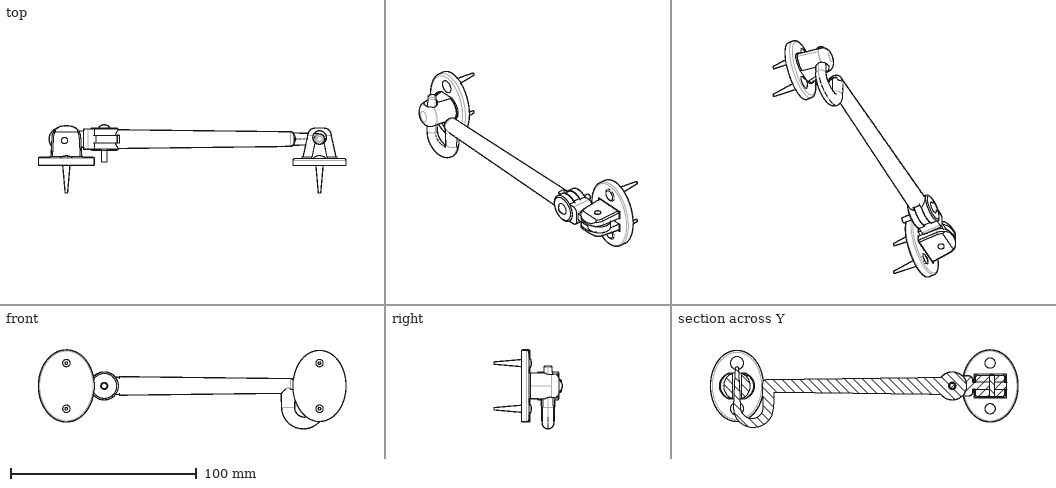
import cadquery as cq
import math


overall_depth = 36.92
overall_height = 42.7
axis_y = 14.3

hinge_plate_rx = 15.1
hinge_plate_rz = 19.5
hinge_plate_thickness = 4.55
hinge_plate_rounding = 0.7

eye_x = 136.3
eye_plate_rx = 14.36
eye_plate_rz = 19.2
eye_plate_thickness = 3.95
eye_plate_rounding = 1.1

ear_root_z = 6.4
ear_draft = 4.2
ear_base_half_width = 8.4
ear_shoulder_half_width = 7.5
ear_shoulder_y = 19.7
ear_shoulder_rounding = 6.5
ear_top_y = 21.75
ear_edge_bevel = 0.85
ear_slope_start_y = 18.3
ear_slope_drop = 2.1
ear_foot_height = 0.3
ear_foot_half_width = 8.75
ear_slot_width = 3.8

boss_base_rx = 9.1
boss_base_rz = 7.85
boss_shoulder_rx = 6.4
boss_shoulder_rz = 7.25
boss_shoulder_y = 16.15
boss_top_y = 20.3
boss_top_rounding = 4.0
boss_half_height = 7.0
boss_foot_height = 0.8
boss_foot_margin = 0.4
eye_hole_radius = 3.65
eye_hole_y = 15.12

screw_spacing = 24.6
screw_tip_y = -14.8
screw_tip_radius = 0.7
screw_shank_radius = 2.0
screw_head_radius = 3.5
screw_head_top_y = 5.4

link_eye_x = -3.2
link_eye_radius = 6.15
link_neck_half_width = 4.5
link_block_start_x = 9.25
link_block_half_height = 5.5
link_block_rounding = 2.5
link_block_length = 11.0

hinge_pin_x = -1.0
hinge_pin_y = 13.55
hinge_pin_radius = 1.7
hinge_pin_half_length = 5.82

knuckle_x = 20.4
knuckle_radius = 7.6
knuckle_length = 12.0
knuckle_bevel = 0.9
knuckle_bevel_depth = 0.6
knuckle_slot_width = 4.0
knuckle_slot_end_x = 28.5
knuckle_tongue_radius = 7.1

rivet_radius = 1.5
rivet_hole_radius = 1.9
rivet_end_y = 1.85
rivet_head_radius = 3.1
rivet_head_top_y = screw_tip_y + overall_depth

arm_start_radius = 5.2
arm_end_radius = 4.0
arm_end_x = 122.6
arm_end_rounding = 1.9
hook_leg_x = 119.4
hook_root_radius = 3.95
hook_tip_radius = 2.2
hook_bend_bar_radius = 3.23
hook_bottom_z = hinge_plate_rz - overall_height
hook_tip_z = 10.75
hook_tip_rounding = 0.8

wall_plane = cq.Plane(origin=(0, 0, 0), xDir=(1, 0, 0), normal=(0, 1, 0))


def y_sketch(x, y):
    """Workplane facing +Y, centred on z = 0."""
    return cq.Workplane(wall_plane).workplane(offset=y).center(x, 0)


def y_cylinder(x, y_start, y_end, radius):
    return y_sketch(x, y_start).circle(radius).extrude(y_end - y_start)


def z_cylinder(x, y, half_height, radius):
    return cq.Workplane("XY").center(x, y).circle(radius).extrude(half_height, both=True)


def box(x_start, x_end, y_start, y_end, half_height):
    """Block symmetric about z = 0."""
    return (
        cq.Workplane("XY")
        .center((x_start + x_end) / 2, (y_start + y_end) / 2)
        .rect(x_end - x_start, y_end - y_start)
        .extrude(half_height, both=True)
    )


def dome_midpoint(base_radius, base_y, top_y):
    """Point halfway up a spherical dome that rises from base_y to top_y."""
    height = top_y - base_y
    sphere_radius = (base_radius**2 + height**2) / (2 * height)
    mid_depth = sphere_radius - height / 2
    return math.sqrt(sphere_radius**2 - mid_depth**2), base_y + height / 2


def make_screw(x, z):
    """Tapered screw with a domed head, seated at the level of the eye plate's outer face."""
    dome_middle = dome_midpoint(screw_head_radius, eye_plate_thickness, screw_head_top_y)
    return (
        cq.Workplane("XY")
        .moveTo(0, screw_tip_y)
        .lineTo(screw_tip_radius, screw_tip_y)
        .lineTo(screw_shank_radius, 0)
        .lineTo(screw_shank_radius, eye_plate_thickness)
        .lineTo(screw_head_radius, eye_plate_thickness)
        .threePointArc(dome_middle, (0, screw_head_top_y))
        .close()
        .revolve(360, (0, 0, 0), (0, 1, 0))
        .translate((x, 0, z))
    )


screw_heights = (screw_spacing / 2, -screw_spacing / 2)
hinge_screws = [make_screw(0, z) for z in screw_heights]
eye_screws = [make_screw(eye_x, z) for z in screw_heights]


hinge_pin = z_cylinder(hinge_pin_x, hinge_pin_y, hinge_pin_half_length, hinge_pin_radius)


def make_rivet():
    head_y = axis_y + knuckle_length / 2
    dome_middle = dome_midpoint(rivet_head_radius, head_y, rivet_head_top_y)
    return (
        cq.Workplane("XY")
        .moveTo(0, rivet_end_y)
        .lineTo(rivet_radius, rivet_end_y)
        .lineTo(rivet_radius, head_y)
        .lineTo(rivet_head_radius, head_y)
        .threePointArc(dome_middle, (0, rivet_head_top_y))
        .close()
        .revolve(360, (0, 0, 0), (0, 1, 0))
        .translate((knuckle_x, 0, 0))
    )


rivet = make_rivet()


def make_ear():
    """Upper ear: bevelled rim, outer face leaning in by the draft and sloping off near the top."""
    root_y = hinge_plate_thickness - ear_edge_bevel
    ear = (
        cq.Workplane("XY")
        .moveTo(-ear_base_half_width, root_y)
        .lineTo(ear_base_half_width, root_y)
        .lineTo(ear_shoulder_half_width, ear_shoulder_y)
        .threePointArc((0, ear_top_y), (-ear_shoulder_half_width, ear_shoulder_y))
        .close()
        .extrude(ear_root_z)
        .edges("|Z")
        .edges(">>Y[-1]")
        .fillet(ear_shoulder_rounding)
        .faces(">Z")
        .edges()
        .chamfer(ear_edge_bevel)
    )
    slope_wedge = (
        cq.Workplane("YZ")
        .moveTo(ear_slope_start_y, ear_root_z)
        .lineTo(ear_top_y, ear_root_z - ear_slope_drop)
        .lineTo(ear_top_y, ear_root_z)
        .close()
        .extrude(ear_base_half_width, both=True)
    )
    return ear.cut(slope_wedge).rotate((0, root_y, ear_root_z), (1, root_y, ear_root_z), -ear_draft)


def make_ears():
    upper_ear = make_ear()
    foot_top = hinge_plate_thickness + ear_foot_height
    foot = box(-ear_foot_half_width, ear_foot_half_width, hinge_plate_thickness, foot_top, ear_root_z)
    slot = box(
        -ear_foot_half_width, ear_foot_half_width, hinge_plate_thickness, ear_top_y, ear_slot_width / 2
    )
    return upper_ear.union(upper_ear.mirror("XY")).union(foot).cut(slot)


def make_hinge_plate():
    plate = (
        y_sketch(0, 0)
        .ellipse(hinge_plate_rx, hinge_plate_rz)
        .extrude(hinge_plate_thickness)
        .edges()
        .fillet(hinge_plate_rounding)
        .union(make_ears())
        .cut(hinge_pin)
    )
    for screw in hinge_screws:
        plate = plate.cut(screw)
    return plate


def make_eye_boss():
    """Boss tapering to an oval shoulder, rounded over on top and flattened on both ends."""
    taper_height = boss_shoulder_y - eye_plate_thickness
    taper = (
        y_sketch(eye_x, eye_plate_thickness)
        .ellipse(boss_base_rx, boss_base_rz)
        .workplane(offset=taper_height)
        .ellipse(boss_shoulder_rx, boss_shoulder_rz)
        .loft()
    )
    cap = (
        y_sketch(eye_x, boss_shoulder_y)
        .ellipse(boss_shoulder_rx, boss_shoulder_rz)
        .extrude(boss_top_y - boss_shoulder_y)
        .faces(">Y")
        .edges()
        .fillet(boss_top_rounding)
    )
    foot = (
        y_sketch(eye_x, eye_plate_thickness)
        .ellipse(boss_base_rx + boss_foot_margin, boss_base_rz)
        .extrude(boss_foot_height)
    )
    flats = box(
        eye_x - eye_plate_rx, eye_x + eye_plate_rx, eye_plate_thickness, boss_top_y, boss_half_height
    )
    eye_hole = z_cylinder(eye_x, eye_hole_y, boss_half_height, eye_hole_radius)
    return taper.union(cap).union(foot).intersect(flats).cut(eye_hole)


def make_eye_plate():
    plate = (
        y_sketch(eye_x, 0)
        .ellipse(eye_plate_rx, eye_plate_rz)
        .extrude(eye_plate_thickness)
        .faces(">Y")
        .edges()
        .fillet(eye_plate_rounding)
        .union(make_eye_boss())
    )
    for screw in eye_screws:
        plate = plate.cut(screw)
    return plate


rivet_hole = y_cylinder(knuckle_x, 0, axis_y + knuckle_length / 2, rivet_hole_radius)


def knuckle_slot(x_start, x_end):
    half_slot = knuckle_slot_width / 2
    return box(x_start, x_end, axis_y - half_slot, axis_y + half_slot, knuckle_radius)


def make_link():
    half_knuckle = knuckle_length / 2
    half_slot = knuckle_slot_width / 2
    half_block = link_block_length / 2
    half_tongue = ear_slot_width / 2
    flat_tongue = z_cylinder(link_eye_x, axis_y, half_tongue, link_eye_radius)
    neck = box(
        link_eye_x,
        knuckle_x - knuckle_radius,
        axis_y - link_neck_half_width,
        axis_y + link_neck_half_width,
        half_tongue,
    )
    block = (
        box(
            link_block_start_x, knuckle_x, axis_y - half_block, axis_y + half_block, link_block_half_height
        )
        .edges("|Y and <X")
        .fillet(link_block_rounding)
    )
    knuckle_space = y_cylinder(knuckle_x, axis_y - half_knuckle, axis_y + half_knuckle, knuckle_radius)
    round_tongue = y_cylinder(knuckle_x, axis_y - half_slot, axis_y + half_slot, knuckle_tongue_radius)
    block_web = block.intersect(knuckle_slot(link_block_start_x, knuckle_x))
    return (
        flat_tongue.union(neck)
        .union(block)
        .cut(knuckle_space)
        .union(block_web)
        .union(round_tongue)
        .cut(hinge_pin)
        .cut(rivet_hole)
    )


def make_knuckle_fork():
    half_length = knuckle_length / 2
    return (
        cq.Workplane("XY")
        .moveTo(0, -half_length)
        .lineTo(knuckle_radius - knuckle_bevel, -half_length)
        .lineTo(knuckle_radius, knuckle_bevel_depth - half_length)
        .lineTo(knuckle_radius, half_length - knuckle_bevel_depth)
        .lineTo(knuckle_radius - knuckle_bevel, half_length)
        .lineTo(0, half_length)
        .close()
        .revolve(360, (0, 0, 0), (0, 1, 0))
        .translate((knuckle_x, axis_y, 0))
    )


def make_shaft():
    return (
        cq.Workplane("YZ", origin=(knuckle_x, axis_y, 0))
        .circle(arm_start_radius)
        .workplane(offset=arm_end_x - knuckle_x)
        .circle(arm_end_radius)
        .loft()
        .faces(">X")
        .edges()
        .fillet(arm_end_rounding)
    )


def make_hook():
    """Round bar that tapers evenly from the arm, down, around the bend and up to the tip."""
    bend_radius = (eye_x - hook_leg_x) / 2
    bend_x = hook_leg_x + bend_radius
    bend_z = hook_bottom_z + hook_bend_bar_radius + bend_radius
    path = (
        cq.Workplane("XZ", origin=(0, axis_y, 0))
        .moveTo(hook_leg_x, 0)
        .lineTo(hook_leg_x, bend_z)
        .threePointArc((bend_x, bend_z - bend_radius), (eye_x, bend_z))
        .lineTo(eye_x, hook_tip_z)
    )
    return (
        cq.Workplane("XY", origin=(hook_leg_x, axis_y, 0))
        .circle(hook_root_radius)
        .copyWorkplane(cq.Workplane("XY", origin=(eye_x, axis_y, hook_tip_z)))
        .circle(hook_tip_radius)
        .sweep(path, multisection=True)
        .faces(">Z")
        .edges()
        .fillet(hook_tip_rounding)
    )


def make_arm():
    slot = knuckle_slot(knuckle_x - knuckle_radius, knuckle_slot_end_x)
    return make_knuckle_fork().union(make_shaft()).cut(slot).cut(rivet_hole).union(make_hook())


hinge_plate = make_hinge_plate()
eye_plate = make_eye_plate()
link = make_link()
arm = make_arm()

result = cq.Compound.makeCompound(
    [
        hinge_plate.val(),
        eye_plate.val(),
        *[screw.val() for screw in hinge_screws + eye_screws],
        link.val(),
        hinge_pin.val(),
        rivet.val(),
        arm.val(),
    ]
)